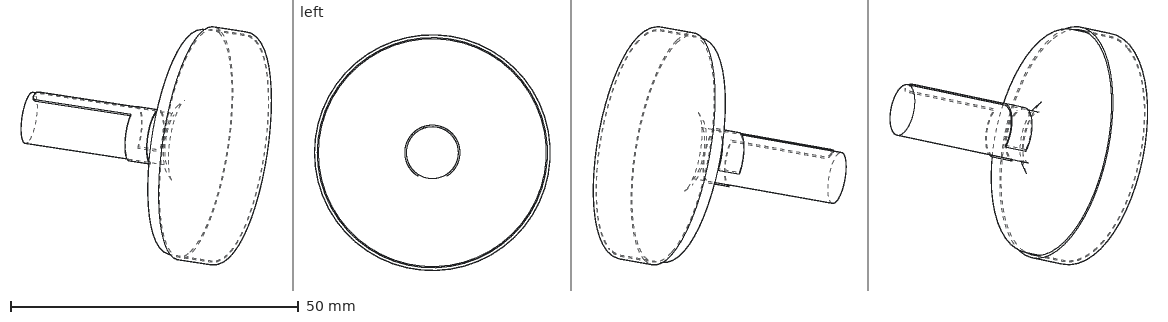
import cadquery as cq


shaft_radius = 4.5
hub_face_x = 26.5
disc_face_x = 28.0
disc_radius = 19.8
hub_foot_radius = 7.45
neck_fillet = 0.5
hub_edge_fillet = 1.0
hub_foot_fillet = 0.5
disc_fillet = 1.0

rim_face_x = 30.5
rim_back_x = 38.0
rim_radius = 20.5
rim_fillet = 1.5
rim_wall = 0.5
rim_floor_x = rim_back_x - rim_wall

collar_start_x = 19.1
collar_end_x = 23.08
collar_radius = 4.8
gap_width = 5.0
tongue_tip_x = 1.0
tongue_width = 3.0
tongue_corner_radius = 0.8


def cylinder(radius, start_x, end_x):
    """Solid cylinder on the X axis."""
    return cq.Workplane("YZ", origin=(start_x, 0, 0)).circle(radius).extrude(end_x - start_x)


def fillet_circle(body, x, radius, fillet_radius):
    """Round the circular edge of the given radius that lies in the plane at x."""
    margin = 0.05

    def edges_within(size):
        low = (x - margin, -size, -size)
        high = (x + margin, size, size)
        return cq.selectors.BoxSelector(low, high, boundingbox=True)

    edge = edges_within(radius + margin) - edges_within(radius - margin)
    return body.edges(edge).fillet(fillet_radius)


def make_shaft():
    """Shaft that widens through a 45-degree conical hub into a round disc, which rests on the rim floor."""
    hub_face_radius = hub_foot_radius - (disc_face_x - hub_face_x)
    profile = [
        (0, 0),
        (0, shaft_radius),
        (hub_face_x, shaft_radius),
        (hub_face_x, hub_face_radius),
        (disc_face_x, hub_foot_radius),
        (disc_face_x, disc_radius),
        (rim_floor_x, disc_radius),
        (rim_floor_x, 0),
    ]
    body = cq.Workplane("XY").polyline(profile).close().revolve(360, (0, 0, 0), (1, 0, 0))
    body = fillet_circle(body, hub_face_x, shaft_radius, neck_fillet)
    body = fillet_circle(body, hub_face_x, hub_face_radius, hub_edge_fillet)
    body = fillet_circle(body, disc_face_x, hub_foot_radius, hub_foot_fillet)
    for x in (disc_face_x, rim_floor_x):
        body = fillet_circle(body, x, disc_radius, disc_fillet)
    return body


def make_rim():
    """Cup of even wall thickness, rounded at its closed back and open toward the shaft."""
    outside = cylinder(rim_radius, rim_face_x, rim_back_x).faces(">X").edges().fillet(rim_fillet)
    cavity = cylinder(rim_radius - rim_wall, rim_face_x, rim_floor_x)
    cavity = cavity.faces(">X").edges().fillet(rim_fillet - rim_wall)
    return outside.cut(cavity)


def make_collar_ring():
    """Ring around the shaft, open at the bottom between two upright walls."""
    ring = cylinder(collar_radius, collar_start_x, collar_end_x)
    length = collar_end_x - collar_start_x
    gap = cq.Workplane("XY").box(length, gap_width, collar_radius, centered=(False, True, False))
    return ring.cut(gap.translate((collar_start_x, 0, -collar_radius)))


def make_tongue():
    """Round-cornered strip running from inside the ring to its tip, flush with the ring's outside."""
    length = collar_end_x - tongue_tip_x
    blank = (
        cq.Workplane("XY")
        .center(tongue_tip_x + length / 2, 0)
        .rect(length, tongue_width)
        .extrude(collar_radius)
        .edges("|Z and <X")
        .fillet(tongue_corner_radius)
    )
    return blank.intersect(cylinder(collar_radius, tongue_tip_x, collar_end_x))


def make_collar():
    """Collar ring and tongue in one piece, bored to fit the shaft."""
    bore = cylinder(shaft_radius, 0, hub_face_x)
    return make_collar_ring().union(make_tongue()).cut(bore)


shaft = make_shaft()
rim = make_rim()
collar = make_collar()

result = cq.Compound.makeCompound([shaft.val(), rim.val(), collar.val()])